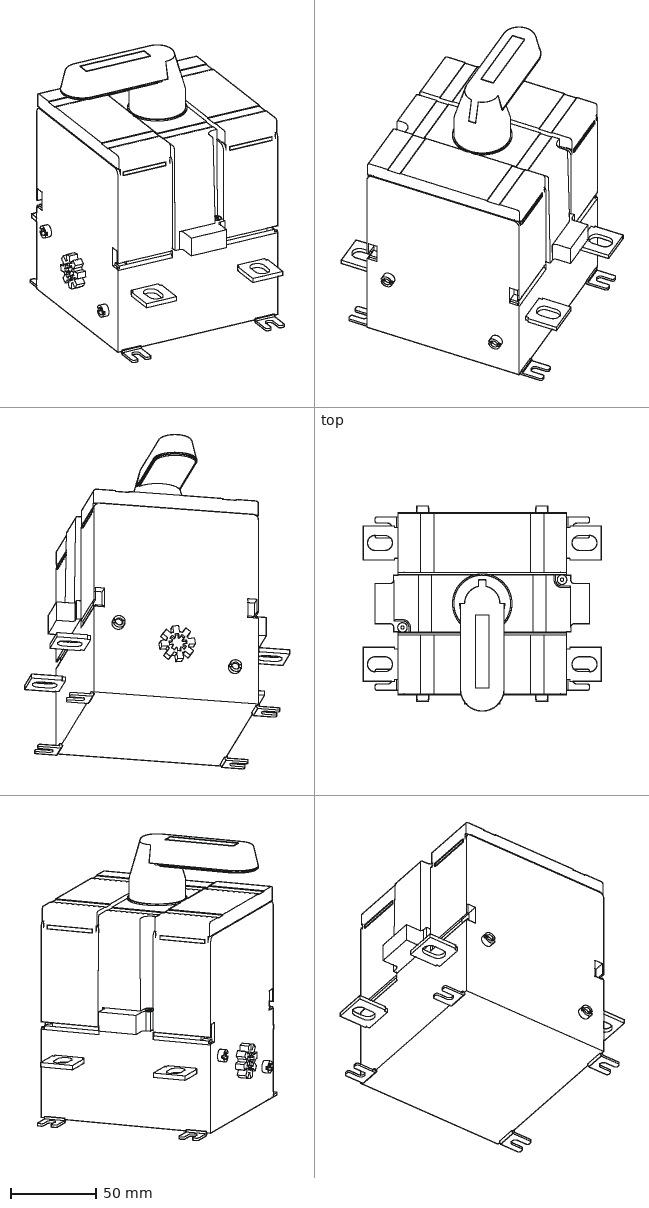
import cadquery as cq
body_half_x = 49.5
body_half_y = 53.7
body_bottom = 1.8
middle_half_y = 16.7
end_block_inner_y = 17.2
middle_bottom = 60.8
middle_top = 127.8
middle_foot_half_x = 52.2
middle_head_half_x = 51.0
middle_edge_radius = 1.3

plate_top = 120.5
plate_thickness = 1.7
plate_corner_radius = 3.6
cap_top = 129.3
cap_outer_inset = 0.7
cap_inner_inset = 1.2
cap_edge_radius = 1.7

band_depth = 0.5
end_band_inner_x = 28.2
end_band_outer_x = 36.3
middle_band_inner_x = 29.9
middle_band_outer_x = 37.5

side_slot_bottom = 116.0
side_slot_height = 2.3
side_slot_length = 28.4
side_slot_center_y = 35.7
side_slot_depth = 0.5
seam_top = 59.6
seam_ledge = 57.1
seam_bottom = 55.1
seam_depth = 1.3
window_inner_x = 43.1
window_outer_x = 48.5
window_bottom = 55.6
window_top = 67.4
window_depth = 6.6

tab_end_x = 63.0
tab_half_y = 11.9
tab_top = 72.3
tab_root_radius = 1.8
well_x = 46.9
well_y = 14.0
well_floor_radius = 3.8
well_draft = 0.9
well_screw_radius = 2.8
well_screw_bore_radius = 1.0
well_screw_height = 0.5

bracket_root_x = 48.5
terminal_end_x = 70.0
terminal_bottom = 37.6
terminal_thickness = 2.6
terminal_width = 20.1
terminal_center_y = 35.7
terminal_neck_x = 51.5
terminal_neck_inset = 1.0
terminal_hole_center_x = 60.1
terminal_hole_length = 14.5
terminal_hole_width = 8.7
foot_end_x = 63.0
foot_width = 12.5
foot_center_y = 44.7
foot_thickness = 1.5
foot_bend_x = 50.5
foot_bend_top = 2.8
foot_slot_width = 5.0
foot_slot_inner_x = 53.2
foot_tip_radius = 1.3

screw_x = 35.0
screw_upper_z = 45.7
screw_lower_z = 23.5
screw_radius = 3.6
screw_length = 3.8
screw_bore_radius = 2.1
screw_bore_depth = 2.0
screw_slot_width = 1.8
screw_slot_depth = 1.2
gear_z = 34.8
gear_length = 5.5
gear_teeth = 8
gear_turn = 8.5
gear_tip_radius = 10.2
gear_root_radius = 6.8
gear_tooth_width = 3.6
gear_socket_tip_radius = 5.3
gear_socket_root_radius = 3.5
gear_socket_tooth_width = 2.1
gear_socket_depth = 2.5

hub_ring_radius = 17.5
hub_ring_height = 0.8
hub_radius = 16.7
hub_cone_bottom = 140.0
hub_cone_top = 162.6
hub_cone_top_radius = 10.4
handle_top = 165.1
lever_rim_top = 152.2
lever_rim_bottom = 151.4
lever_bottom = 150.5
lever_length = 50.4
lever_radius = 12.9
lever_draft = 13.0
lever_rim_inset = 0.8
lever_edge_radius = 2.5
lever_rim_step = 0.2
label_width = 8.0
label_near_y = 6.6
label_far_y = 49.7
label_depth = 0.3
pointer_width = 4.5
pointer_bottom = 149.0
pointer_depth = 0.3


def block(x_min, x_max, y_min, y_max, z_min, z_max):
    size = (x_max - x_min, y_max - y_min, z_max - z_min)
    return cq.Workplane("XY").box(*size, centered=False).translate((x_min, y_min, z_min))


def half_turn(shape):
    return shape.rotate((0, 0, 0), (0, 0, 1), 180)


def with_half_turn(shape):
    return shape.union(half_turn(shape))


def on_four_corners(shape):
    pair = shape.union(shape.mirror("YZ"))
    return pair.union(pair.mirror("XZ"))


def cut_bands(part, inner_x, outer_x, top):
    band = block(inner_x, outer_x, -body_half_y, body_half_y, top - band_depth, top)
    return part.cut(band).cut(band.mirror("YZ"))


def make_plate_notch(y_min):
    """Waste outside the rounded top corner of an end plate, at the +X edge."""
    center_x = body_half_x - plate_corner_radius
    center_z = plate_top - plate_corner_radius
    corner = block(center_x, body_half_x, y_min, y_min + plate_thickness, center_z, plate_top)
    round_bar = (
        cq.Workplane("XZ", origin=(center_x, y_min, center_z))
        .circle(plate_corner_radius)
        .extrude(-plate_thickness)
    )
    return corner.cut(round_bar)


def make_end_block():
    """The +Y end block, with its cap set in from the end plates."""
    lower = block(-body_half_x, body_half_x, end_block_inner_y, body_half_y, body_bottom, plate_top)
    cap = block(
        -body_half_x, body_half_x,
        end_block_inner_y + cap_inner_inset, body_half_y - cap_outer_inset,
        plate_top, cap_top,
    )
    cap = cap.edges("|Y and >Z").fillet(cap_edge_radius)
    cap = cut_bands(cap, end_band_inner_x, end_band_outer_x, cap_top)
    for y_min in (end_block_inner_y, body_half_y - plate_thickness):
        notch = make_plate_notch(y_min)
        lower = lower.cut(notch).cut(notch.mirror("YZ"))
    return lower.union(cap)


def make_side_slot():
    return block(
        body_half_x - side_slot_depth, body_half_x,
        side_slot_center_y - side_slot_length / 2, side_slot_center_y + side_slot_length / 2,
        side_slot_bottom, side_slot_bottom + side_slot_height,
    )


def make_seam():
    """Groove below an end block, with a sloping lower lip."""
    return (
        cq.Workplane("XZ", origin=(0, end_block_inner_y, 0))
        .moveTo(body_half_x, seam_top)
        .lineTo(body_half_x - seam_depth, seam_top)
        .lineTo(body_half_x - seam_depth, seam_ledge)
        .lineTo(body_half_x, seam_bottom)
        .close()
        .extrude(end_block_inner_y - body_half_y)
    )


def make_window():
    """Pocket in the end face, its floor one step above the opening's lower edge."""
    opening = block(
        window_inner_x, window_outer_x,
        body_half_y - plate_thickness, body_half_y,
        window_bottom, window_top,
    )
    pocket = block(
        window_inner_x, window_outer_x,
        body_half_y - window_depth, body_half_y,
        seam_ledge, window_top,
    )
    return opening.union(pocket)


def make_enclosure():
    base = block(
        -body_half_x, body_half_x, -end_block_inner_y, end_block_inner_y, body_bottom, middle_bottom
    )
    end_block = make_end_block()
    enclosure = base.union(end_block).union(end_block.mirror("XZ"))
    for recess in (make_side_slot(), make_seam(), make_window()):
        enclosure = enclosure.cut(on_four_corners(recess))
    return enclosure


def make_well():
    """Drafted corner channel at -X, -Y, open to both outer sides."""
    height = middle_top - tab_top
    open_x = -body_half_x - well_floor_radius * 2
    open_y = -middle_half_y - well_floor_radius * 2
    return (
        cq.Workplane("XY", origin=(0, 0, tab_top))
        .moveTo(open_x, open_y)
        .lineTo(-well_x + well_floor_radius, open_y)
        .lineTo(-well_x + well_floor_radius, -well_y)
        .radiusArc((-well_x, -well_y + well_floor_radius), -well_floor_radius)
        .lineTo(open_x, -well_y + well_floor_radius)
        .close()
        .extrude(height, taper=-well_draft)
    )


def make_tab():
    """Tab at the -X side with concave roots where it meets the block."""
    wall_x = -middle_foot_half_x
    root_x = wall_x - tab_root_radius
    root_y = tab_half_y + tab_root_radius
    return (
        cq.Workplane("XY", origin=(0, 0, middle_bottom))
        .moveTo(-middle_head_half_x, -root_y)
        .lineTo(wall_x, -root_y)
        .radiusArc((root_x, -tab_half_y), -tab_root_radius)
        .lineTo(-tab_end_x, -tab_half_y)
        .lineTo(-tab_end_x, tab_half_y)
        .lineTo(root_x, tab_half_y)
        .radiusArc((wall_x, root_y), -tab_root_radius)
        .lineTo(-middle_head_half_x, root_y)
        .close()
        .extrude(tab_top - middle_bottom)
    )


def make_middle_block():
    outline = [
        (-middle_foot_half_x, middle_bottom),
        (middle_foot_half_x, middle_bottom),
        (middle_head_half_x, middle_top),
        (-middle_head_half_x, middle_top),
    ]
    middle = cq.Workplane("XZ").polyline(outline).close().extrude(middle_half_y, both=True)
    middle = middle.edges("|Y and >Z").fillet(middle_edge_radius)
    middle = cut_bands(middle, middle_band_inner_x, middle_band_outer_x, middle_top)
    middle = middle.cut(with_half_turn(make_well()))
    screw = (
        cq.Workplane("XY", origin=(-well_x, -well_y, tab_top))
        .circle(well_screw_radius)
        .circle(well_screw_bore_radius)
        .extrude(well_screw_height)
    )
    return middle.union(with_half_turn(screw)).union(with_half_turn(make_tab()))


def make_terminal():
    """Slotted terminal at +X, +Y, narrowed where it leaves the body."""
    half_width = terminal_width / 2
    neck_half_width = half_width - terminal_neck_inset
    top = terminal_bottom + terminal_thickness
    y_min = terminal_center_y - half_width
    y_max = terminal_center_y + half_width
    neck_y_min = terminal_center_y - neck_half_width
    neck_y_max = terminal_center_y + neck_half_width
    blade = block(terminal_neck_x, terminal_end_x, y_min, y_max, terminal_bottom, top)
    neck = block(bracket_root_x, terminal_neck_x, neck_y_min, neck_y_max, terminal_bottom, top)
    hole = (
        cq.Workplane("XY", origin=(terminal_hole_center_x, terminal_center_y, terminal_bottom))
        .slot2D(terminal_hole_length, terminal_hole_width)
        .extrude(terminal_thickness)
    )
    return blade.cut(hole).union(neck)


def make_foot():
    """Forked foot at +X, +Y, bent up against the body side."""
    y_min = foot_center_y - foot_width / 2
    y_max = foot_center_y + foot_width / 2
    foot = block(body_half_x, foot_end_x, y_min, y_max, 0, foot_thickness)
    slot_end_x = foot_end_x + foot_slot_width
    slot_length = slot_end_x - foot_slot_inner_x
    slot = (
        cq.Workplane("XY", origin=(foot_slot_inner_x + slot_length / 2, foot_center_y, 0))
        .slot2D(slot_length, foot_slot_width)
        .extrude(foot_thickness)
    )
    foot = foot.cut(slot).edges("|Z and >X").fillet(foot_tip_radius)
    bend = (
        cq.Workplane("XZ", origin=(0, y_max, 0))
        .moveTo(foot_bend_x, 0)
        .lineTo(foot_bend_x, foot_bend_top)
        .lineTo(bracket_root_x, foot_bend_top)
        .lineTo(bracket_root_x, foot_bend_x - bracket_root_x)
        .radiusArc((foot_bend_x, 0), -(foot_bend_x - bracket_root_x))
        .close()
        .extrude(foot_width)
    )
    return foot.union(bend)


def make_screw(x, z):
    """Screw head on the -Y face, bored and slotted across."""
    tip_y = -body_half_y - screw_length
    head = cq.Workplane("XZ", origin=(x, -body_half_y, z)).circle(screw_radius).extrude(screw_length)
    bore = cq.Workplane("XZ", origin=(x, tip_y, z)).circle(screw_bore_radius).extrude(-screw_bore_depth)
    slot = block(
        x - screw_radius, x + screw_radius,
        tip_y, tip_y + screw_slot_depth,
        z - screw_slot_width / 2, z + screw_slot_width / 2,
    )
    return head.cut(bore).cut(slot)


def make_toothed_disc(y, tip_radius, root_radius, tooth_width, length):
    disc = cq.Workplane("XZ").circle(root_radius).extrude(length)
    tooth_bar = cq.Workplane("XZ").rect(2 * tip_radius, tooth_width).extrude(length)
    for i in range(gear_teeth // 2):
        angle = gear_turn + i * 360 / gear_teeth
        disc = disc.union(tooth_bar.rotate((0, 0, 0), (0, -1, 0), angle))
    return disc.translate((0, y, gear_z))


def make_gear():
    gear = make_toothed_disc(
        -body_half_y, gear_tip_radius, gear_root_radius, gear_tooth_width, gear_length
    )
    socket = make_toothed_disc(
        -body_half_y - gear_length + gear_socket_depth,
        gear_socket_tip_radius, gear_socket_root_radius, gear_socket_tooth_width, gear_socket_depth,
    )
    return gear.cut(socket)


def make_hub_cone(inset):
    return (
        cq.Workplane("XZ")
        .moveTo(0, hub_cone_bottom)
        .lineTo(hub_radius - inset, hub_cone_bottom)
        .lineTo(hub_cone_top_radius - inset, hub_cone_top)
        .lineTo(0, hub_cone_top)
        .close()
        .revolve(360, (0, 0, 0), (0, 1, 0))
    )


def make_hub():
    ring = cq.Workplane("XY", origin=(0, 0, middle_top)).circle(hub_ring_radius).extrude(hub_ring_height)
    drum = (
        cq.Workplane("XY", origin=(0, 0, middle_top))
        .circle(hub_radius)
        .extrude(hub_cone_bottom - middle_top)
    )
    lever_side = block(-hub_radius, hub_radius, -hub_radius, 0, lever_rim_top, hub_cone_top)
    cone = make_hub_cone(0).cut(lever_side)
    pointer = block(
        -pointer_width / 2, pointer_width / 2, 0, hub_radius, pointer_bottom, hub_cone_top
    )
    cone = cone.cut(pointer.cut(make_hub_cone(pointer_depth)))
    return ring.union(drum).union(cone)


def lever_outline(z, inset):
    """Straight-sided outline rounded about the hub axis and about the lever end."""
    radius = lever_radius - inset
    return (
        cq.Workplane("XY", origin=(0, 0, z))
        .moveTo(-radius, 0)
        .threePointArc((0, radius), (radius, 0))
        .lineTo(radius, -lever_length)
        .threePointArc((0, -lever_length - radius), (-radius, -lever_length))
        .close()
    )


def make_lever():
    grip = lever_outline(lever_rim_top, lever_rim_step).extrude(
        handle_top - lever_rim_top, taper=lever_draft
    )
    grip = grip.faces(">Z").edges().fillet(lever_edge_radius)
    rim = lever_outline(lever_rim_bottom, 0).extrude(lever_rim_top - lever_rim_bottom)
    underside = lever_outline(lever_bottom, lever_rim_inset).extrude(lever_rim_bottom - lever_bottom)
    label = block(
        -label_width / 2, label_width / 2,
        -label_far_y, -label_near_y,
        handle_top - label_depth, handle_top,
    )
    return grip.union(rim).union(underside).cut(label)


enclosure = make_enclosure().union(make_middle_block())
brackets = on_four_corners(make_terminal()).union(on_four_corners(make_foot()))
screws = make_screw(-screw_x, screw_upper_z).union(make_screw(screw_x, screw_lower_z))
handle = make_hub().union(make_lever())

result = enclosure.union(brackets).union(with_half_turn(screws)).union(make_gear()).union(handle)